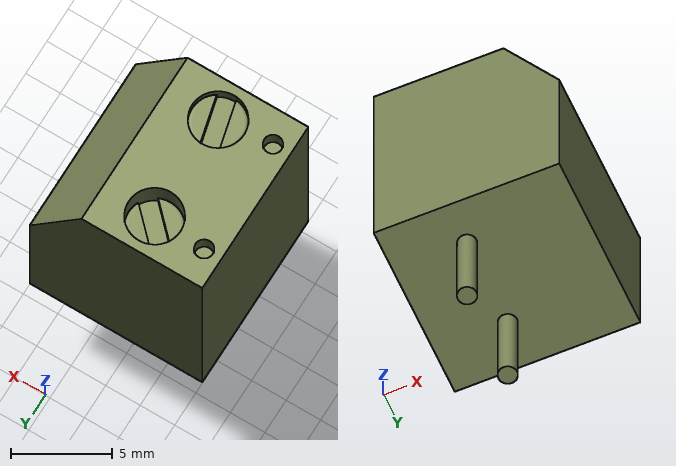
import cadquery as cq

side = 10.0
pin_length = 5.0
housing_height = 18 - pin_length
slope_run = 3.0
slope_drop = 5.0

round_diameter = 1.0
terminal_x = 4.0
pin_spacing = 5.0
pin_center_y = -0.1

test_hole_x = 1.0
test_hole_spacing = 6.5
test_hole_center_y = -0.05
test_hole_depth = 1.0

screw_diameter = 3.0
screw_spacing = 6.0
screw_edge_fillet = 0.2
slot_width = 1.0
slot_depth = 0.5
screws = [
    (1, 1.25, -45),
    (-1, 0.29, -76),
]


def pair_positions(x, spacing, center_y):
    """Two points at the same X, spread along Y."""
    return [(x, center_y + sign * spacing / 2) for sign in (-1, 1)]


def make_housing():
    """Square block with a sloped upper edge on the +X side."""
    return (
        cq.Workplane("XZ", origin=(0, side / 2, 0))
        .polyline([
            (0, 0),
            (side, 0),
            (side, housing_height - slope_drop),
            (side - slope_run, housing_height),
            (0, housing_height),
        ])
        .close()
        .extrude(side)
    )


def make_screw_recess(side_sign, head_depth, slot_angle):
    """Space above a screw: its well, the gap around its rounded edge and its slot."""
    depth = head_depth + slot_depth
    well = cq.Workplane("XY").circle(screw_diameter / 2).extrude(-depth)
    head = (
        cq.Workplane("XY", origin=(0, 0, -depth))
        .circle(screw_diameter / 2)
        .extrude(slot_depth)
        .faces(">Z")
        .edges()
        .fillet(screw_edge_fillet)
    )
    slot = (
        cq.Workplane("XY", origin=(0, 0, -depth))
        .rect(2 * screw_diameter, slot_width)
        .extrude(slot_depth)
        .rotate((0, 0, 0), (0, 0, 1), slot_angle)
    )
    recess = well.cut(head.cut(slot))
    return recess.translate((terminal_x, side_sign * screw_spacing / 2, housing_height))


def make_test_holes():
    return (
        cq.Workplane("XY", origin=(0, 0, housing_height))
        .pushPoints(pair_positions(test_hole_x, test_hole_spacing, test_hole_center_y))
        .circle(round_diameter / 2)
        .extrude(-test_hole_depth)
    )


def make_pins():
    return (
        cq.Workplane("XY")
        .pushPoints(pair_positions(terminal_x, pin_spacing, pin_center_y))
        .circle(round_diameter / 2)
        .extrude(-pin_length)
    )


result = make_housing().cut(make_test_holes())
for side_sign, head_depth, slot_angle in screws:
    result = result.cut(make_screw_recess(side_sign, head_depth, slot_angle))
result = result.union(make_pins())